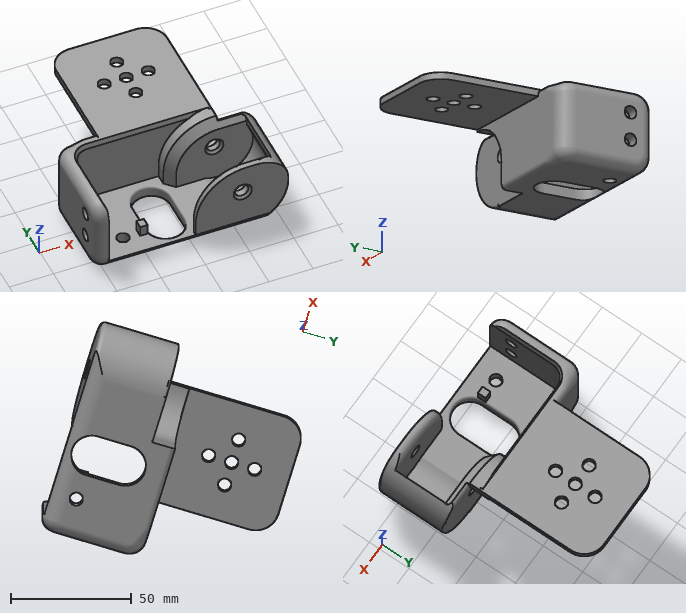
import cadquery as cq
import math

length = 88.0
depth = 95.0
height = 35.0

housing_depth = 44.1
floor_thickness = 5.0
left_wall = 6.0
back_wall = 5.1
pocket_back = housing_depth - back_wall
corner_outer_radius = 7.0
corner_inner_radius = 7.0
blend_end = left_wall + corner_inner_radius
back_edge_radius = 2.4
front_edge_radius = 7.5
front_setback = front_edge_radius - math.sqrt(
    front_edge_radius**2 - (front_edge_radius - floor_thickness) ** 2
)
left_face_radius = 5.0
rim_chamfer_drop = 2.1
rim_chamfer_width = 0.95

plate_width = 50.1
plate_thickness = 3.0
plate_corner_radius = 10.0
plate_right = 69.2
plate_center_x = plate_right - plate_width / 2
plate_holes_y = 70.0
plate_hole_pitch = 10.0
screw_diameter = 5.5

end_depth = 34.0
end_radius = 19.95
end_center_x = length - end_radius
end_upper_radius = height - end_radius
end_front_rim_radius = 2.1
end_back_rim_radius = 0.95
end_back_step = 1.6
cavity_radius = 16.0
cavity_right = 81.2

ear_left = 45.3
ear_arc_radius = 23.2
front_ear_inner_y = 4.8
front_ear_fillet = 2.9
back_ear_inner_y = 30.0
ear_wall = end_depth - back_ear_inner_y
pivot_x = 66.6
pivot_z = 21.6
pivot_diameter = 6.0
pivot_chamfer = 1.1

overcut = 4.75

slot_x = 36.5
slot_y = 19.0
slot_width = 17.1
slot_length = 31.5
slot_edge_radius = 1.0
floor_hole_x = 17.0
screw_row_y = 10.9
wall_hole_heights = (13.0, 25.0)
key_x = 23.9
key_y = 9.0
key_width = 3.4
key_depth = 4.0
key_height = 5.0


def block(x0, x1, y0, y1, z0, z1):
    """Box given by its limits on each axis."""
    corner = cq.Workplane("XY", origin=(x0, y0, z0))
    return corner.box(x1 - x0, y1 - y0, z1 - z0, centered=False)


def profile_plane(back_y):
    """Front-facing plane at back_y; extruding from it goes toward -Y."""
    return cq.Workplane("XZ", origin=(0, back_y, 0))


def end_disc(radius, front_y, back_y):
    """Cylinder along Y about the axis of the rounded end."""
    plane = profile_plane(back_y).center(end_center_x, end_radius)
    return plane.circle(radius).extrude(back_y - front_y)


def make_side_profile():
    """Side profile of the whole housing, extruded over its depth."""
    outline = (
        profile_plane(housing_depth)
        .lineTo(end_center_x, 0)
        .radiusArc((length, end_radius), -end_radius)
        .radiusArc((length - end_upper_radius, height), -end_upper_radius)
        .lineTo(0, height)
        .close()
    )
    return outline.extrude(housing_depth)


def make_left_end():
    """Left wall outside: round corners, then one rounding run around the face and back corner."""
    body = block(0, plate_right, 0, housing_depth, 0, height)
    body = body.edges("|X and <Y").fillet(front_edge_radius)
    body = body.edges("|Z and <X and >Y").fillet(corner_outer_radius)
    body = body.faces("<X").edges("not(>Y)").fillet(left_face_radius)
    return body.intersect(block(0, corner_outer_radius, 0, housing_depth, 0, height))


def cross_section(work, back_radius):
    """Outer section across X: round lower front edge, both back edges rounded by back_radius."""
    bend = front_edge_radius * (1 - math.sqrt(0.5))
    return (
        work.moveTo(front_setback, height)
        .lineTo(front_setback, floor_thickness)
        .threePointArc((bend, bend), (front_edge_radius, 0))
        .lineTo(housing_depth - back_radius, 0)
        .radiusArc((housing_depth, back_radius), -back_radius)
        .lineTo(housing_depth, height - back_radius)
        .radiusArc((housing_depth - back_radius, height), -back_radius)
        .close()
    )


def make_middle():
    """Outside from the back corner to the plate; the back rounding narrows along the first stretch."""
    start = cq.Workplane("YZ", origin=(corner_outer_radius, 0, 0))
    wide = cross_section(start, left_face_radius)
    narrowing = cross_section(wide.workplane(offset=blend_end - corner_outer_radius), back_edge_radius)
    straight = cross_section(cq.Workplane("YZ", origin=(blend_end, 0, 0)), back_edge_radius)
    return narrowing.loft(ruled=True).union(straight.extrude(plate_right - blend_end))


def make_right_end():
    """Outside right of the plate: shallower, with rounded rims and a lowered, rounded back top edge."""
    disc = end_disc(end_radius, front_setback, end_depth)
    disc = disc.faces("<Y").edges().fillet(end_front_rim_radius)
    disc = disc.faces(">Y").edges().fillet(end_back_rim_radius)
    body = block(plate_right, length, 0, end_depth, 0, height)
    body = body.edges("|X and <Y and <Z").fillet(front_edge_radius)
    body = body.cut(block(plate_right, length, back_ear_inner_y, end_depth, height - end_back_step, height))
    body = body.faces(">Y").edges(">Z").fillet(end_back_step)
    return body.intersect(disc)


def pocket_outline(level, grow):
    """Plan outline of the pocket at a height, widened by grow."""
    left = left_wall - grow
    back = pocket_back + grow
    radius = corner_inner_radius + grow
    return (
        cq.Workplane("XY", origin=(0, 0, level))
        .moveTo(left, -overcut)
        .lineTo(left, back - radius)
        .radiusArc((left + radius, back), radius)
        .lineTo(end_center_x, back)
        .lineTo(end_center_x, -overcut)
        .close()
    )


def make_pocket():
    straight = pocket_outline(floor_thickness, 0).extrude(height)
    taper = math.degrees(math.atan(rim_chamfer_width / rim_chamfer_drop))
    flare = pocket_outline(height, rim_chamfer_width).extrude(-rim_chamfer_drop, taper=taper)
    end_opening = block(end_center_x, cavity_right, -overcut, pocket_back, end_radius, height + overcut)
    return straight.union(flare).union(end_opening)


def make_ear(front_y, back_y, inset=0):
    """Ear shape along Y with a round upper left side, running on to the end; inset shrinks its outline."""
    left = ear_left + inset
    top = height - inset
    radius = ear_arc_radius - inset
    outline = (
        profile_plane(back_y)
        .moveTo(left, 0)
        .lineTo(left, top - radius)
        .radiusArc((left + radius, top), radius)
        .lineTo(length, top)
        .lineTo(length, 0)
        .close()
    )
    return outline.extrude(back_y - front_y)


def make_ears():
    front = make_ear(front_setback, front_ear_inner_y)
    front = front.faces(">Y").edges("(not <Z) and (not >X)").fillet(front_ear_fillet)
    back = make_ear(back_ear_inner_y, pocket_back + rim_chamfer_width)
    back = back.faces("<Y").edges("(not <Z) and (not >X)").chamfer(ear_wall)
    return front.union(back)


def make_housing():
    outside = make_left_end().union(make_middle()).union(make_right_end()).intersect(make_side_profile())
    cavity = end_disc(cavity_radius, front_ear_inner_y, back_ear_inner_y)
    ears = make_ears().intersect(outside)
    back_recess = make_ear(end_depth, housing_depth, inset=ear_wall)
    return outside.cut(make_pocket()).union(ears).cut(cavity).cut(back_recess)


def make_plate():
    plate = block(plate_right - plate_width, plate_right, pocket_back + rim_chamfer_width, depth,
                  height - plate_thickness, height)
    plate = plate.edges("|Z and >Y").fillet(plate_corner_radius)
    pitch = plate_hole_pitch
    spots = [(0, 0), (pitch, 0), (-pitch, 0), (0, pitch), (0, -pitch)]
    holes = (
        cq.Workplane("XY", origin=(plate_center_x, plate_holes_y, 0))
        .pushPoints(spots)
        .circle(screw_diameter / 2)
        .extrude(height + overcut)
    )
    return plate.cut(holes)


def pivot_cut(face_y):
    """Pivot bore running back from face_y through the wall, with a chamfered mouth."""
    radius = pivot_diameter / 2
    mouth = cq.Solid.makeCone(
        radius + pivot_chamfer, radius, pivot_chamfer,
        cq.Vector(pivot_x, face_y, pivot_z), cq.Vector(0, 1, 0),
    )
    bore = cq.Solid.makeCylinder(
        radius, housing_depth, cq.Vector(pivot_x, face_y, pivot_z), cq.Vector(0, 1, 0),
    )
    return cq.Workplane(bore.fuse(mouth))


def cut_slot(body):
    """Round-ended floor opening with a rounded upper edge."""
    plane = cq.Workplane("XY", origin=(slot_x, slot_y, -overcut))
    slot = plane.slot2D(slot_length, slot_width, 90).extrude(floor_thickness + 2 * overcut)
    margin = slot_edge_radius / 2
    rim = cq.selectors.BoxSelector(
        (slot_x - slot_width / 2 - margin, slot_y - slot_length / 2 - margin, floor_thickness - margin),
        (slot_x + slot_width / 2 + margin, slot_y + slot_length / 2 + margin, floor_thickness + margin),
    )
    return body.cut(slot).edges(rim).fillet(slot_edge_radius)


def make_floor_hole():
    plane = cq.Workplane("XY", origin=(floor_hole_x, screw_row_y, -overcut))
    return plane.circle(screw_diameter / 2).extrude(floor_thickness + 2 * overcut)


def make_wall_holes():
    spots = [(screw_row_y, z) for z in wall_hole_heights]
    plane = cq.Workplane("YZ", origin=(-overcut, 0, 0)).pushPoints(spots)
    return plane.circle(screw_diameter / 2).extrude(left_wall + 2 * overcut)


def make_key():
    """Small square post beside the slot."""
    return block(key_x, key_x + key_width, key_y, key_y + key_depth,
                 floor_thickness - slot_edge_radius, floor_thickness + key_height)


result = cut_slot(make_housing()).union(make_plate())
for pivot_face in (front_setback, back_ear_inner_y):
    result = result.cut(pivot_cut(pivot_face))
result = result.cut(make_floor_hole()).cut(make_wall_holes()).union(make_key())